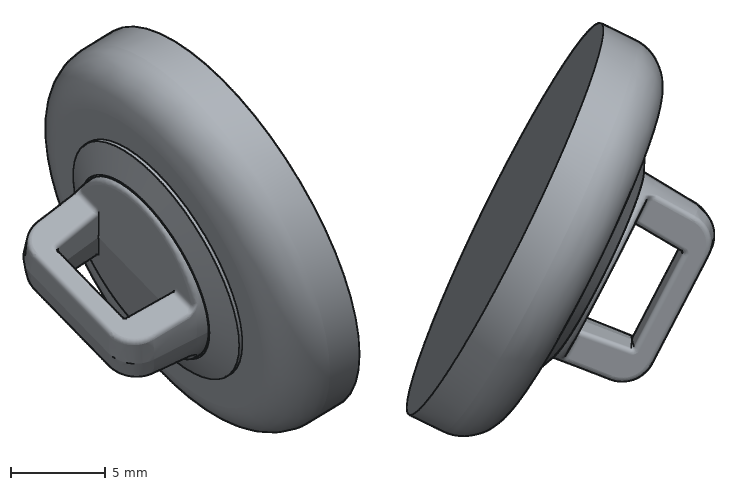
import cadquery as cq
import math


disc_radius = 11.6
disc_edge_radius = 2.5
disc_depth = 4.5

ring_outer_radius = 7.23
ring_rim_height = 0.22
ring_height = 0.95
ring_land_width = 0.1

draft_angle = 5
draft_slope = math.tan(math.radians(draft_angle))
plate_radius = 5.5
plate_crown = 6.2
plate_straight_top = 5.55
loop_tip = 10.53
loop_root_half_width = 1.87
loop_corner_radius = 1.8
edge_radius = 0.3

window_root_half_length = 3.1
window_top = 9.0

ring_top = disc_depth + ring_height
loop_tip_half_width = (loop_root_half_width - draft_slope * (loop_tip - plate_crown)) / (1 - draft_slope**2)


def face_front(body):
    """Turn a body from pointing along +Z to pointing along -Y."""
    return body.rotate((0, 0, 0), (1, 0, 0), 90)


def make_disc():
    disc = cq.Workplane("XY").circle(disc_radius).extrude(disc_depth)
    return disc.faces(">Z").edges().fillet(disc_edge_radius)


def make_ring():
    profile = [
        (plate_radius, disc_depth),
        (ring_outer_radius, disc_depth),
        (ring_outer_radius, disc_depth + ring_rim_height),
        (plate_radius + ring_land_width, ring_top),
        (plate_radius, ring_top),
    ]
    return cq.Workplane("XZ").polyline(profile).close().revolve(360, (0, 0), (0, 1))


def drafted_height(crown, y):
    """Height of a face that falls away from its crown on the plane Y = 0."""
    return crown - draft_slope * y


def prism_along_x(outline):
    """Prism of a (Y, Z) outline, long enough to span the plate."""
    return cq.Workplane("YZ").polyline(outline).close().extrude(plate_radius, both=True)


def make_round_envelope():
    """Cylinder that turns into a drafted cone, holding the plate rim and the outer sides of the loop."""
    cone_top_radius = plate_radius - draft_slope * (loop_tip - plate_straight_top)
    profile = [
        (0, disc_depth),
        (plate_radius, disc_depth),
        (plate_radius, plate_straight_top),
        (cone_top_radius, loop_tip),
        (0, loop_tip),
    ]
    return cq.Workplane("XZ").polyline(profile).close().revolve(360, (0, 0), (0, 1))


def make_half_plate():
    outline = [
        (0, disc_depth),
        (plate_radius, disc_depth),
        (plate_radius, drafted_height(plate_crown, plate_radius)),
        (0, plate_crown),
    ]
    return prism_along_x(outline).intersect(make_round_envelope())


def make_half_window():
    """Window that widens away from the plane Y = 0; its lower end is buried in the plate."""
    window_top_half_length = window_root_half_length - draft_slope * (window_top - plate_crown)
    window_bottom_half_length = window_root_half_length + draft_slope * (plate_crown - disc_depth)
    outline = [
        (-window_bottom_half_length, disc_depth),
        (window_bottom_half_length, disc_depth),
        (window_top_half_length, window_top),
        (-window_top_half_length, window_top),
    ]
    window = (
        cq.Workplane("XZ")
        .polyline(outline)
        .close()
        .extrude(-2 * loop_root_half_width, taper=-draft_angle)
    )
    return window


def make_half_loop():
    """Solid half of the loop with rounded outer corners, cut by its window."""
    root_half_width = loop_root_half_width + draft_slope * (plate_crown - disc_depth)
    outline = [
        (0, disc_depth),
        (root_half_width, disc_depth),
        (loop_tip_half_width, drafted_height(loop_tip, loop_tip_half_width)),
        (0, loop_tip),
    ]
    block = prism_along_x(outline).intersect(make_round_envelope())
    corner_edges = block.faces(">Z").edges("<X or >X").vals()
    rounded_block = block.newObject(corner_edges).fillet(loop_corner_radius)
    return rounded_block.cut(make_half_window())


def make_button():
    """Plate and loop: one half with softened edges, joined to its mirror image."""
    half = make_half_plate().union(make_half_loop())
    plate_normal = cq.Vector(0, draft_slope, 1)
    loop_side_normal = cq.Vector(0, 1, draft_slope)
    plate_face = half.faces(cq.selectors.DirectionSelector(plate_normal)).faces("<Z")
    loop_side = half.faces(cq.selectors.DirectionSelector(loop_side_normal))
    soft_edges = loop_side.edges().add(plate_face.edges(">Y")).vals()
    soft_half = half.newObject(soft_edges).fillet(edge_radius)
    return soft_half.union(soft_half.mirror("XZ"))


disc = face_front(make_disc())
ring = face_front(make_ring())
button = face_front(make_button())

result = cq.Compound.makeCompound([disc.val(), ring.val(), button.val()])